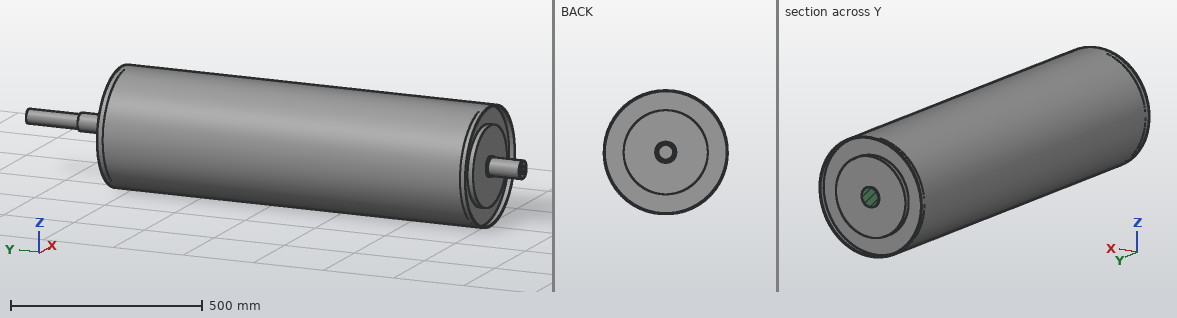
import cadquery as cq
import math

total_length = 1410.0
front_journal_length = 95.0
rear_journal_length = 115.0
rear_spigot_length = 150.0
drum_length = total_length - front_journal_length - rear_journal_length - rear_spigot_length

drum_diameter = 325.0
rim_bore_diameter = 319.0
hub_diameter = 220.0
recess_depth = 15.0

journal_diameter = 50.0
collar_diameter = 55.0
collar_height = 5.0
spigot_diameter = 40.0
end_chamfer = 2.0

hole_diameter = 13.8
hole_depth = 32.0
relief_diameter = 17.0
relief_depth = 11.0
countersink_diameter = 23.0
countersink_angle = 60
countersink_depth = (countersink_diameter - relief_diameter) / 2 / math.tan(math.radians(countersink_angle / 2))

front_end = -total_length / 2
drum_front = front_end + front_journal_length
drum_rear = drum_front + drum_length
spigot_start = drum_rear + rear_journal_length


def cylinder(diameter, start, length):
    """Cylinder on the roller axis, running from start towards +Y."""
    axis_start = cq.Vector(0, start, 0)
    return cq.Workplane(cq.Solid.makeCylinder(diameter / 2, length, axis_start, cq.Vector(0, 1, 0)))


def annular_recess(start):
    """Ring between the rim and the hub, which stays flush with the rim."""
    return cylinder(rim_bore_diameter, start, recess_depth).cut(cylinder(hub_diameter, start, recess_depth))


def make_drum():
    drum = cylinder(drum_diameter, drum_front, drum_length)
    for recess_start in (drum_front, drum_rear - recess_depth):
        drum = drum.cut(annular_recess(recess_start))
    return drum


def make_shaft():
    journal = cylinder(journal_diameter, front_end, spigot_start - front_end).faces("<Y").chamfer(end_chamfer)
    collars = cylinder(collar_diameter, drum_front - collar_height, drum_length + 2 * collar_height)
    spigot = cylinder(spigot_diameter, spigot_start, rear_spigot_length)
    return journal.union(collars).union(spigot)


def make_centre_hole():
    countersink = cq.Solid.makeCone(
        countersink_diameter / 2,
        relief_diameter / 2,
        countersink_depth,
        cq.Vector(0, front_end, 0),
        cq.Vector(0, 1, 0),
    )
    hole = cylinder(hole_diameter, front_end, hole_depth)
    relief = cylinder(relief_diameter, front_end, relief_depth)
    return hole.union(relief).union(cq.Workplane(countersink))


result = make_drum().union(make_shaft()).cut(make_centre_hole())